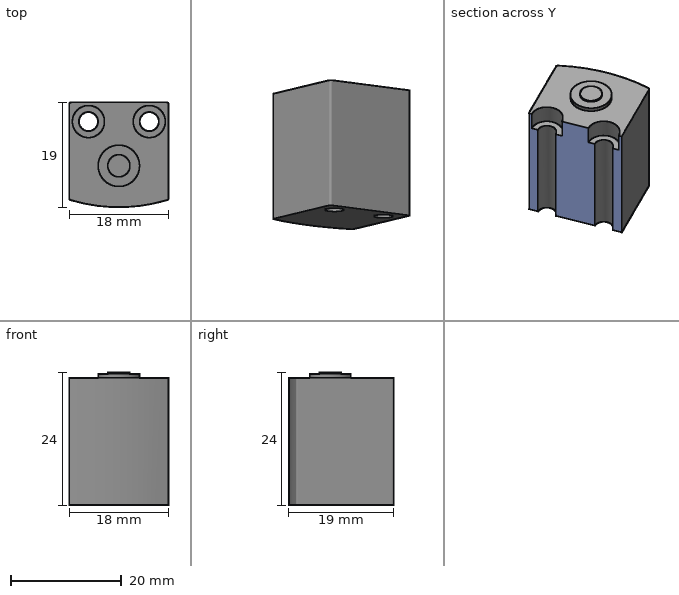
import cadquery as cq
import math

width = 18.0
depth = 19.0
block_height = 23.0
rod_to_back = 11.5
front_radius = 30.0
corner_radius = 0.85 / 2

boss_diameter = 7.5
boss_top = 23.7
rod_diameter = 4.0
rod_top = 24.0
rod_bottom = block_height / 2

hole_spacing = 11.0
hole_to_back = 3.5
hole_diameter = 3.4
counterbore_diameter = 5.8
counterbore_depth = 3.4

back_y = rod_to_back
front_y = back_y - depth
hole_y = back_y - hole_to_back


def make_block():
    """Block with a bowed front face and rounded vertical edges."""
    half_width = width / 2
    bow_height = front_radius - math.sqrt(front_radius**2 - half_width**2)
    front_corner_y = front_y + bow_height
    return (
        cq.Workplane("XY")
        .moveTo(half_width, back_y)
        .lineTo(-half_width, back_y)
        .lineTo(-half_width, front_corner_y)
        .threePointArc((0, front_y), (half_width, front_corner_y))
        .close()
        .extrude(block_height)
        .edges("|Z")
        .fillet(corner_radius)
    )


def make_housing():
    """Block with its boss, mounting holes and rod bore."""
    boss = (
        cq.Workplane("XY", origin=(0, 0, block_height))
        .circle(boss_diameter / 2)
        .extrude(boss_top - block_height)
    )
    rod_bore = (
        cq.Workplane("XY", origin=(0, 0, rod_bottom))
        .circle(rod_diameter / 2)
        .extrude(boss_top - rod_bottom)
    )
    mounting_holes = [(-hole_spacing / 2, hole_y), (hole_spacing / 2, hole_y)]
    drilled_block = (
        make_block()
        .faces(">Z")
        .workplane(origin=(0, 0, block_height))
        .pushPoints(mounting_holes)
        .cboreHole(hole_diameter, counterbore_diameter, counterbore_depth)
    )
    return drilled_block.union(boss).cut(rod_bore)


def make_rod():
    """Plain rod that fills the bore and stands slightly above the boss."""
    return (
        cq.Workplane("XY", origin=(0, 0, rod_bottom))
        .circle(rod_diameter / 2)
        .extrude(rod_top - rod_bottom)
    )


housing = make_housing()
rod = make_rod()

result = cq.Compound.makeCompound([housing.val(), rod.val()])